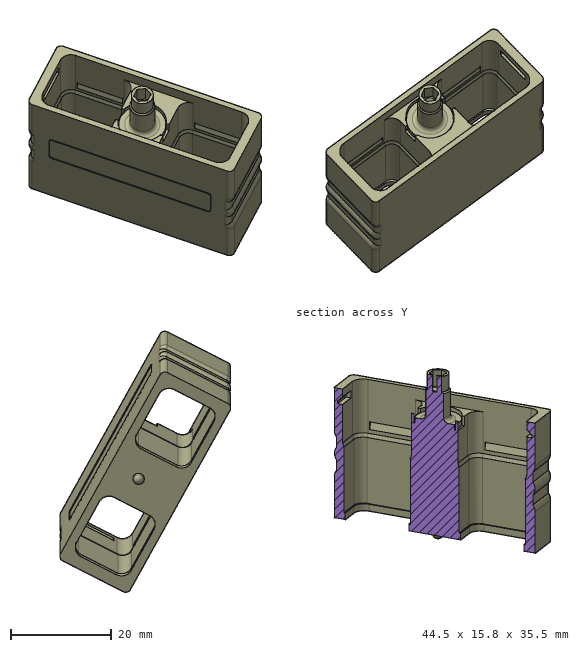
import cadquery as cq
import math

BODY_LENGTH = 44.45
BODY_WIDTH = 15.83
BODY_HEIGHT = 28.0
CORNER_RADIUS = 1.1

GRIP_CENTRE_Z = 13.85
GROOVE_DEPTH = 0.5
RIB_RADIUS = 2.15
GRIP_HALF_HEIGHT = 4.9

CAVITY_LENGTH = 40.6
CAVITY_WIDTH = 13.5
CAVITY_RADIUS = 2.3
BLOCK_LENGTH = 10.3
BLOCK_TOP_Z = 25.4
POCKET_LENGTH = (CAVITY_LENGTH - BLOCK_LENGTH) / 2
POCKET_CENTRE_X = (CAVITY_LENGTH + BLOCK_LENGTH) / 4

FUNNEL_TOP_Z = 16.45
FUNNEL_INSET = 0.3
FUNNEL_HEIGHT = 0.82
LIP_INSET = 0.28
LIP_THICKNESS = 1.5
WINDOW_RADIUS = 2.2

END_SLOT_WIDTH = 7.5
END_SLOT_Z = 24.7
END_SLOT_HEIGHT = 1.6
END_SLOT_DEPTH = 1.1
END_SLOT_BACK_HEIGHT = 0.5

SIDE_SLOT_LENGTH = 9.8
SIDE_SLOT_TOP_Z = 18.95
SIDE_SLOT_HEIGHT = 1.65
SIDE_SLOT_DEPTH = 0.6

LABEL_LENGTH = 35.0
LABEL_HEIGHT = 6.0
LABEL_CENTRE_Z = 15.3
LABEL_RADIUS = 0.7
LABEL_DEPTH = 0.2

SCREW_Y = -1.5
SEAT_RADIUS = 4.82
SEAT_DEPTH = 2.0
FLANGE_RADIUS = 4.7
FLANGE_TOP_Z = 24.6
FLARE_RADIUS = 3.5
SHANK_RADIUS = 2.5
NECK_RADIUS = 2.2
SHANK_TOP_Z = BODY_HEIGHT + 2.8
NECK_TOP_Z = BODY_HEIGHT + 6.4
HEX_FLATS = 3.0
HEX_DEPTH = 3.5
DRILL_RADIUS = 1.25
DRILL_TIP_HALF_ANGLE = 59.0
TIP_RADIUS = 1.15
TIP_TAPER_RADIUS = 1.0
TIP_TAPER_LENGTH = 0.55
TIP_LENGTH = 1.15
NOTCH_WIDTH = 3.0


def rounded_prism(length, width, radius, bottom_z, top_z, centre_x=0.0):
    """Upright prism with a rounded rectangular outline."""
    return (
        cq.Workplane("XY", origin=(centre_x, 0, bottom_z))
        .rect(length, width)
        .extrude(top_z - bottom_z)
        .edges("|Z")
        .fillet(radius)
    )


def make_shell():
    """Block with grooved ends and rounded upright edges."""
    end_x = BODY_LENGTH / 2
    groove_x = end_x - GROOVE_DEPTH
    arc_rise = math.sqrt(RIB_RADIUS**2 - (RIB_RADIUS - GROOVE_DEPTH) ** 2)
    low = GRIP_CENTRE_Z - GRIP_HALF_HEIGHT
    high = GRIP_CENTRE_Z + GRIP_HALF_HEIGHT
    half_angle = math.asin(arc_rise / RIB_RADIUS) / 2
    arc_mid_x = end_x - RIB_RADIUS * (1 - math.cos(half_angle))
    arc_mid_rise = RIB_RADIUS * math.sin(half_angle)

    half = (
        cq.Workplane("XZ", origin=(0, BODY_WIDTH / 2, 0))
        .lineTo(end_x, 0)
        .lineTo(end_x, low)
        .threePointArc((arc_mid_x, low + arc_mid_rise), (groove_x, low + arc_rise))
        .lineTo(groove_x, GRIP_CENTRE_Z - arc_rise)
        .threePointArc((end_x, GRIP_CENTRE_Z), (groove_x, GRIP_CENTRE_Z + arc_rise))
        .lineTo(groove_x, high - arc_rise)
        .threePointArc((arc_mid_x, high - arc_mid_rise), (end_x, high))
        .lineTo(end_x, BODY_HEIGHT)
        .lineTo(0, BODY_HEIGHT)
        .close()
        .extrude(BODY_WIDTH)
    )
    outer_edges = cq.selectors.BoxSelector(
        (groove_x - GROOVE_DEPTH, -BODY_WIDTH, GROOVE_DEPTH),
        (end_x + GROOVE_DEPTH, BODY_WIDTH, BODY_HEIGHT - GROOVE_DEPTH),
    )
    half = half.edges("not |Y").edges(outer_edges).fillet(CORNER_RADIUS)
    return half.union(half.mirror("YZ"))


def pocket_prism(inset, radius, bottom_z, top_z, centre_x):
    """Prism with the sides of the pocket moved inwards by the inset."""
    return rounded_prism(
        POCKET_LENGTH - 2 * inset,
        CAVITY_WIDTH - 2 * inset,
        radius,
        bottom_z,
        top_z,
        centre_x,
    )


def cut_cavity(body):
    """Open cavity at the top, with a stepped pocket each side of the block."""
    body = body.cut(rounded_prism(CAVITY_LENGTH, CAVITY_WIDTH, CAVITY_RADIUS, BLOCK_TOP_Z, BODY_HEIGHT))
    window_inset = FUNNEL_INSET + LIP_INSET
    for side in (-1, 1):
        centre_x = side * POCKET_CENTRE_X
        pocket = pocket_prism(0, CAVITY_RADIUS, FUNNEL_TOP_Z - FUNNEL_HEIGHT, BODY_HEIGHT, centre_x)
        pocket = pocket.faces("<Z").chamfer(FUNNEL_HEIGHT, FUNNEL_INSET)
        bore = pocket_prism(FUNNEL_INSET, CAVITY_RADIUS - FUNNEL_INSET, LIP_THICKNESS, BLOCK_TOP_Z, centre_x)
        window = pocket_prism(window_inset, WINDOW_RADIUS, 0, BLOCK_TOP_Z, centre_x)
        body = body.cut(pocket).cut(bore).cut(window)
    return body


def cut_end_slots(body):
    """Ramped catch slots in the inner faces of both end walls."""
    wall_x = CAVITY_LENGTH / 2
    slot = (
        cq.Workplane("XZ", origin=(0, END_SLOT_WIDTH / 2, 0))
        .moveTo(0, END_SLOT_Z)
        .lineTo(wall_x + END_SLOT_DEPTH, END_SLOT_Z)
        .lineTo(wall_x + END_SLOT_DEPTH, END_SLOT_Z + END_SLOT_BACK_HEIGHT)
        .lineTo(wall_x, END_SLOT_Z + END_SLOT_HEIGHT)
        .lineTo(wall_x - CAVITY_RADIUS, END_SLOT_Z + END_SLOT_HEIGHT)
        .lineTo(wall_x - CAVITY_RADIUS, END_SLOT_Z)
        .close()
        .extrude(END_SLOT_WIDTH)
    )
    return body.cut(slot).cut(slot.mirror("YZ"))


def cut_side_slots(body):
    """Wedge-shaped catch slots in the long walls of each pocket."""
    wall_y = CAVITY_WIDTH / 2
    for side in (-1, 1):
        slot = (
            cq.Workplane("YZ", origin=(side * POCKET_CENTRE_X - SIDE_SLOT_LENGTH / 2, 0, 0))
            .moveTo(wall_y, SIDE_SLOT_TOP_Z - SIDE_SLOT_HEIGHT)
            .lineTo(wall_y + SIDE_SLOT_DEPTH, SIDE_SLOT_TOP_Z)
            .lineTo(wall_y, SIDE_SLOT_TOP_Z)
            .close()
            .extrude(SIDE_SLOT_LENGTH)
        )
        body = body.cut(slot).cut(slot.mirror("XZ"))
    return body


def cut_label(body):
    """Shallow rounded recess in the outer face of the -Y wall."""
    recess = (
        cq.Workplane("XZ", origin=(0, -BODY_WIDTH / 2, LABEL_CENTRE_Z))
        .rect(LABEL_LENGTH, LABEL_HEIGHT)
        .extrude(-LABEL_DEPTH)
        .edges("|Y")
        .fillet(LABEL_RADIUS)
    )
    return body.cut(recess)


def cut_screw_seat(body):
    """Round seat in the block top, broken out through both sides of the block."""
    seat_floor_z = BLOCK_TOP_Z - SEAT_DEPTH
    seat = cq.Workplane("XY", origin=(0, SCREW_Y, seat_floor_z)).circle(SEAT_RADIUS).extrude(SEAT_DEPTH)
    notch = (
        cq.Workplane("XY", origin=(0, SCREW_Y, seat_floor_z))
        .rect(BLOCK_LENGTH, NOTCH_WIDTH)
        .extrude(SEAT_DEPTH)
    )
    return body.cut(seat).cut(notch)


def make_tip():
    """Tapered screw end with a domed nose, below the body."""
    dome_height = TIP_LENGTH - TIP_TAPER_LENGTH
    dome_radius = (TIP_TAPER_RADIUS**2 + dome_height**2) / (2 * dome_height)
    half_angle = math.asin(TIP_TAPER_RADIUS / dome_radius) / 2
    dome_mid = (
        dome_radius * math.sin(half_angle),
        -TIP_LENGTH + dome_radius * (1 - math.cos(half_angle)),
    )
    return (
        cq.Workplane("XZ", origin=(0, SCREW_Y, 0))
        .lineTo(TIP_RADIUS, 0)
        .lineTo(TIP_TAPER_RADIUS, -TIP_TAPER_LENGTH)
        .threePointArc(dome_mid, (0, -TIP_LENGTH))
        .close()
        .revolve(360, (0, 0), (0, 1))
    )


def make_screw():
    """Flanged jack screw with a hex socket on top."""
    flare = FLARE_RADIUS - SHANK_RADIUS
    bend = flare * (1 - math.sqrt(0.5))
    step = SHANK_RADIUS - NECK_RADIUS
    seat_floor_z = BLOCK_TOP_Z - SEAT_DEPTH
    screw = (
        cq.Workplane("XZ", origin=(0, SCREW_Y, 0))
        .moveTo(0, seat_floor_z)
        .lineTo(FLANGE_RADIUS, seat_floor_z)
        .lineTo(FLANGE_RADIUS, FLANGE_TOP_Z)
        .lineTo(FLARE_RADIUS, FLANGE_TOP_Z)
        .threePointArc(
            (SHANK_RADIUS + bend, FLANGE_TOP_Z + bend),
            (SHANK_RADIUS, FLANGE_TOP_Z + flare),
        )
        .lineTo(SHANK_RADIUS, SHANK_TOP_Z)
        .lineTo(NECK_RADIUS, SHANK_TOP_Z + step)
        .lineTo(NECK_RADIUS, NECK_TOP_Z)
        .lineTo(0, NECK_TOP_Z)
        .close()
        .revolve(360, (0, 0), (0, 1))
    )
    hex_corners = HEX_FLATS / math.cos(math.pi / 6)
    socket = (
        cq.Workplane("XY", origin=(0, SCREW_Y, NECK_TOP_Z - HEX_DEPTH))
        .transformed(rotate=(0, 0, 90))
        .polygon(6, hex_corners)
        .extrude(HEX_DEPTH)
    )
    cone_depth = DRILL_RADIUS / math.tan(math.radians(DRILL_TIP_HALF_ANGLE))
    cone = cq.Workplane(
        cq.Solid.makeCone(
            0, DRILL_RADIUS, cone_depth, pnt=cq.Vector(0, SCREW_Y, NECK_TOP_Z - HEX_DEPTH - cone_depth)
        )
    )
    return screw.cut(socket).cut(cone)


body = make_shell()
body = cut_cavity(body)
body = cut_end_slots(body)
body = cut_side_slots(body)
body = cut_label(body)
body = cut_screw_seat(body)
result = body.union(make_screw()).union(make_tip())